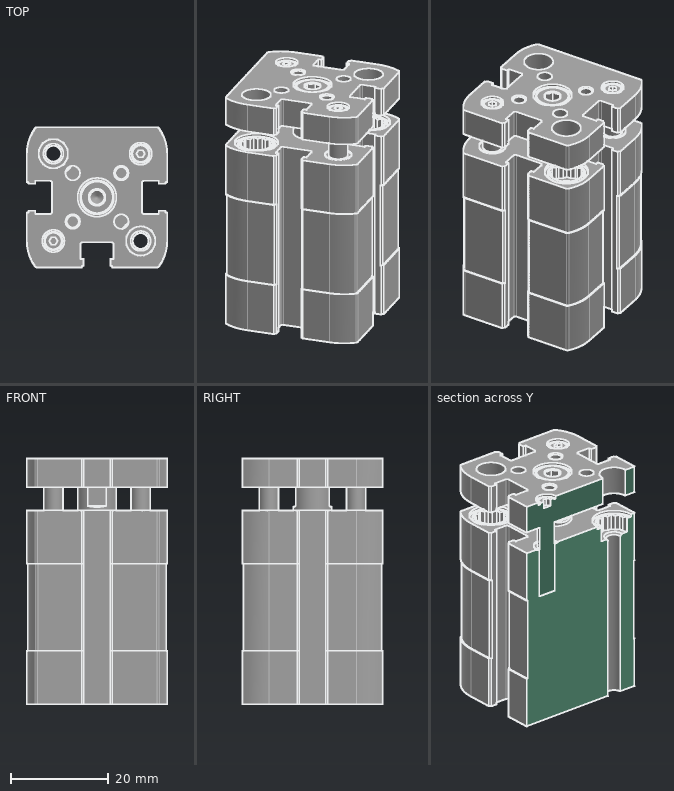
import cadquery as cq
import math

width = 29.0
housing_height = 40.0
cap_height = 11.0
waist_inset = 0.2
plate_gap = 4.7
plate_thickness = 6.0
plate_bottom = housing_height + plate_gap
plate_top = plate_bottom + plate_thickness

side_flat_half = 9.0
corner_arc_radius = 9.0
corner_fillet = 0.6

slot_mouth = 5.5
slot_width = 6.8
slot_depth = 5.2
slot_lip = 1.8
slot_fillet = 0.4

corner_offset = 9.0
inner_offset = 5.0
guide_positions = [(-corner_offset, -corner_offset), (corner_offset, corner_offset)]
screw_positions = [(-corner_offset, corner_offset), (corner_offset, -corner_offset)]
thread_positions = [(-inner_offset, -inner_offset), (inner_offset, inner_offset)]
dowel_positions = [(-inner_offset, inner_offset), (inner_offset, -inner_offset)]

access_diameter = 6.0
dowel_diameter = 3.0
thread_mouth = 3.0
thread_core = 2.46

counterbore_diameter = 9.0
groove_depth = 0.6
screw_recess = 0.2
screw_head_diameter = 7.8
screw_head_chamfer = 0.3
screw_hex = 6.0
socket_turn = 30
screw_hex_mouth = 7.0
screw_hex_depth = 3.5
screw_bore_mouth = 4.13
screw_bore = 3.24

rod_diameter = 8.0
rod_flats = 7.0
rod_flat_start = 0.9
rod_flat_runout = 0.25
rod_tip_diameter = 7.0
rod_tip_chamfer = 0.25
rod_tip_below_plate = 0.3
rod_recess_depth = 0.6
rod_hex = 3.0
rod_hex_mouth = 3.5
rod_hex_depth = 5.0
rod_point_angle = 120

guide_diameter = 4.0
guide_seat_diameter = 5.5
guide_seat_depth = 0.2
guide_recess_diameter = 4.6
guide_recess_depth = 0.6
guide_tip_diameter = 3.8
guide_tip_chamfer = 0.2
guide_tip_below_plate = 0.3
guide_hex = 1.5
guide_hex_depth = 1.5

rod_insertion = cap_height


def rounded_outline(half):
    """Square of the given half width whose X faces curve in towards the Y faces."""
    arc_center_x = half - corner_arc_radius
    rise = half - side_flat_half
    corner_x = arc_center_x + math.sqrt(corner_arc_radius**2 - rise**2)
    middle_angle = math.asin(rise / corner_arc_radius) / 2
    arc_middle_x = arc_center_x + corner_arc_radius * math.cos(middle_angle)
    arc_middle_y = side_flat_half + corner_arc_radius * math.sin(middle_angle)
    return (
        cq.Workplane("XY")
        .moveTo(-corner_x, -half)
        .lineTo(corner_x, -half)
        .threePointArc((arc_middle_x, -arc_middle_y), (half, -side_flat_half))
        .lineTo(half, side_flat_half)
        .threePointArc((arc_middle_x, arc_middle_y), (corner_x, half))
        .lineTo(-corner_x, half)
        .threePointArc((-arc_middle_x, arc_middle_y), (-half, side_flat_half))
        .lineTo(-half, -side_flat_half)
        .threePointArc((-arc_middle_x, -arc_middle_y), (-corner_x, -half))
        .close()
    )


def profile(bottom, height, half):
    """Extruded outline with the three T-slots, standing on the given height."""
    body = rounded_outline(half).extrude(height)
    for corner_y in (-half, half):
        corners = cq.selectors.BoxSelector(
            (-half, corner_y - corner_fillet, 0), (half, corner_y + corner_fillet, height)
        )
        body = body.edges("|Z").edges(corners).fillet(corner_fillet)
    for angle in (0, 90, 180):
        body = body.cut(t_slot(height, half).rotate((0, 0, 0), (0, 0, 1), angle - 90))
    return body.translate((0, 0, bottom))


def t_slot(height, half):
    """T-slot cutter for the -Y face, with rounded mouth edges and pocket corners."""
    floor_y = -width / 2 + slot_depth
    lip_y = -width / 2 + slot_lip
    mouth_half = slot_mouth / 2
    mouth = (
        cq.Workplane("XY")
        .moveTo(-mouth_half, floor_y - slot_fillet)
        .lineTo(-mouth_half, -half + slot_fillet)
        .radiusArc((-mouth_half - slot_fillet, -half), -slot_fillet)
        .lineTo(mouth_half + slot_fillet, -half)
        .radiusArc((mouth_half, -half + slot_fillet), -slot_fillet)
        .lineTo(mouth_half, floor_y - slot_fillet)
        .close()
        .extrude(height)
    )
    pocket = (
        cq.Workplane("XY")
        .rect(slot_width, floor_y - lip_y)
        .extrude(height)
        .translate((0, (floor_y + lip_y) / 2, 0))
        .edges("|Z and >Y")
        .fillet(slot_fillet)
    )
    return mouth.union(pocket)


def cylinder(position, diameter, bottom, top):
    """Upright cylinder between two heights."""
    x, y = position
    return cq.Workplane("XY").circle(diameter / 2).extrude(top - bottom).translate((x, y, bottom))


def cone(position, bottom_diameter, top_diameter, bottom, top):
    """Upright cone between two heights."""
    x, y = position
    base = cq.Vector(x, y, bottom)
    return cq.Workplane(cq.Solid.makeCone(bottom_diameter / 2, top_diameter / 2, top - bottom, base))


def hexagon(position, across_flats, bottom, top, turn=0):
    """Upright hexagonal prism, turned about its own axis by the given degrees."""
    x, y = position
    across_corners = across_flats / math.cos(math.pi / 6)
    prism = cq.Workplane("XY").polygon(6, across_corners).extrude(top - bottom)
    return prism.rotate((0, 0, 0), (0, 0, 1), turn).translate((x, y, bottom))


def chamfered_tip(position, diameter, chamfer, bottom, top):
    """Rod end with a 45 degree chamfer around its top."""
    return cylinder(position, diameter, bottom, top).faces(">Z").chamfer(chamfer)


def cut_screw_hole(body, position):
    """Counterbore filled by a chamfered screw head with a twelve-point socket and a through bore."""
    head_top = housing_height - screw_recess
    groove_floor = housing_height - groove_depth
    socket_floor = head_top - screw_hex_depth
    mouth_bottom = head_top - (screw_hex_mouth - screw_hex) / 2
    bore_chamfer_bottom = socket_floor - (screw_bore_mouth - screw_bore) / 2
    head = chamfered_tip(position, screw_head_diameter, screw_head_chamfer, groove_floor, head_top)
    body = body.cut(cylinder(position, counterbore_diameter, groove_floor, housing_height)).union(head)
    body = body.cut(cone(position, screw_hex, screw_hex_mouth, mouth_bottom, head_top))
    for turn in (0, socket_turn):
        body = body.cut(hexagon(position, screw_hex, socket_floor, head_top, turn))
    body = body.cut(cone(position, screw_bore, screw_bore_mouth, bore_chamfer_bottom, socket_floor))
    return body.cut(cylinder(position, screw_bore, 0, socket_floor))


def make_housing():
    """Two end caps and the slightly smaller profile between them, with rod and screw holes."""
    half = width / 2
    upper_cap_bottom = housing_height - cap_height
    body = profile(0, cap_height, half)
    body = body.union(profile(cap_height, upper_cap_bottom - cap_height, half - waist_inset))
    body = body.union(profile(upper_cap_bottom, cap_height, half))

    rod_hole_bottom = housing_height - rod_insertion
    body = body.cut(cylinder((0, 0), rod_diameter, rod_hole_bottom, housing_height))
    for position in guide_positions:
        seat_bottom = housing_height - guide_seat_depth
        body = body.cut(cylinder(position, guide_diameter, rod_hole_bottom, housing_height))
        body = body.cut(cylinder(position, guide_seat_diameter, seat_bottom, housing_height))
    for position in screw_positions:
        body = cut_screw_hole(body, position)
    return body


def make_piston_rod():
    """Piston rod with two flats below the plate, facing -Y and +Y, each ending in a short slope."""
    flat_bottom = housing_height + rod_flat_start
    radius = rod_diameter / 2
    rod = cylinder((0, 0), rod_diameter, housing_height - rod_insertion, plate_bottom)
    flat_cutter = (
        cq.Workplane("YZ")
        .moveTo(rod_flats / 2, plate_bottom)
        .lineTo(rod_flats / 2, flat_bottom)
        .lineTo(radius, flat_bottom - rod_flat_runout)
        .lineTo(radius, plate_bottom)
        .close()
        .extrude(radius, both=True)
    )
    return rod.cut(flat_cutter).cut(flat_cutter.mirror("XZ"))


def finish_piston_rod_end(body):
    """Recess in the plate top with the rod tip and its hex socket."""
    tip_top = plate_top - rod_tip_below_plate
    recess_floor = plate_top - rod_recess_depth
    socket_floor = tip_top - rod_hex_depth
    mouth_depth = (rod_hex_mouth - rod_hex) / 2
    body = body.cut(cylinder((0, 0), rod_diameter, recess_floor, plate_top))
    body = body.union(chamfered_tip((0, 0), rod_tip_diameter, rod_tip_chamfer, recess_floor, tip_top))
    body = body.cut(cone((0, 0), rod_hex, rod_hex_mouth, tip_top - mouth_depth, tip_top))
    body = body.cut(hexagon((0, 0), rod_hex, socket_floor, tip_top))
    point_depth = rod_hex / 2 / math.tan(math.radians(rod_point_angle / 2))
    return body.cut(cone((0, 0), 0, rod_hex, socket_floor - point_depth, socket_floor))


def finish_guide_rod_end(body, position):
    """Recess in the plate top with the guide rod tip and its small hex socket."""
    tip_top = plate_top - guide_tip_below_plate
    recess_floor = plate_top - guide_recess_depth
    body = body.cut(cylinder(position, guide_recess_diameter, recess_floor, plate_top))
    body = body.union(chamfered_tip(position, guide_tip_diameter, guide_tip_chamfer, recess_floor, tip_top))
    return body.cut(hexagon(position, guide_hex, tip_top - guide_hex_depth, tip_top))


def make_plate_with_rods():
    """Front plate joined to the piston rod and the two guide rods."""
    body = profile(plate_bottom, plate_thickness, width / 2)
    for position in screw_positions:
        body = body.cut(cylinder(position, access_diameter, plate_bottom, plate_top))
    for position in dowel_positions:
        body = body.cut(cylinder(position, dowel_diameter, plate_bottom, plate_top))
    thread_chamfer_bottom = plate_top - (thread_mouth - thread_core) / 2
    for position in thread_positions:
        body = body.cut(cylinder(position, thread_core, plate_bottom, plate_top))
        body = body.cut(cone(position, thread_core, thread_mouth, thread_chamfer_bottom, plate_top))

    body = body.union(make_piston_rod())
    body = finish_piston_rod_end(body)
    for position in guide_positions:
        guide = cylinder(position, guide_diameter, housing_height - rod_insertion, plate_bottom)
        body = finish_guide_rod_end(body.union(guide), position)
    return body


housing = make_housing()
plate_with_rods = make_plate_with_rods()

result = cq.Compound.makeCompound([housing.solids().val(), plate_with_rods.solids().val()])